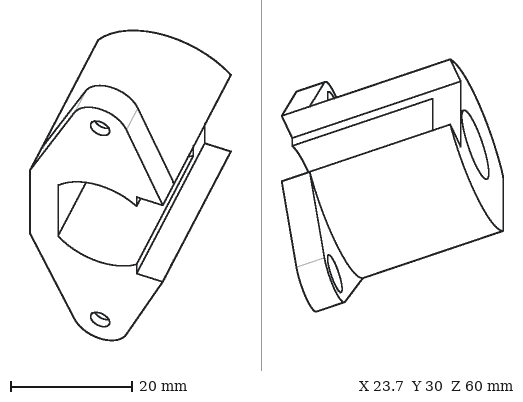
import cadquery as cq
import math

total_length = 30.0
flange_thickness = 5.0
wall_thickness = 5.0

cavity_radius = 10.0
cavity_flat_x = -7.5
opening_x = 6.5
end_hole_diameter = 12.0

ear_radius = 5.0
ear_offset = 25.0
screw_hole_diameter = 3.4
counterbore_diameter = 6.5
counterbore_depth = 3.4

outer_radius = cavity_radius + wall_thickness
outer_flat_x = cavity_flat_x - wall_thickness
cavity_length = total_length - wall_thickness
opening_height = 2 * cavity_radius
outer_flat_half_height = math.sqrt(outer_radius**2 - outer_flat_x**2)
opening_edge_x = math.sqrt(outer_radius**2 - cavity_radius**2)


def xz_plane(start_y=0.0):
    """Workplane with local x along X, local y along Z and its normal along -Y."""
    return cq.Workplane("XZ", origin=(0, start_y, 0))


def cylinder_along_y(radius, length):
    """Cylinder on the barrel axis, running from the flange face toward +Y."""
    return xz_plane().circle(radius).extrude(-length)


def flatted_cylinder(radius, flat_x, length):
    """Cylinder on the barrel axis with its -X side cut to a flat."""
    kept_side = cq.Workplane("XY", origin=(flat_x, 0, 0)).box(
        radius - flat_x, length, 2 * radius, centered=(False, False, True)
    )
    return cylinder_along_y(radius, length).intersect(kept_side)


def ear_tangent_point(corner, side):
    """Point where the line from a corner touches the upper ear; side is +1 for +X, -1 for -X."""
    dx = corner[0]
    dz = corner[1] - ear_offset
    corner_angle = math.atan2(dz, dx)
    angle = corner_angle + side * math.acos(ear_radius / math.hypot(dx, dz))
    return (ear_radius * math.cos(angle), ear_offset + ear_radius * math.sin(angle))


def mirrored(point):
    """The point reflected to the opposite Z side."""
    return (point[0], -point[1])


def flange():
    """Plate with a rounded ear at each end, tapering from the barrel's corners."""
    left_corner = (outer_flat_x, outer_flat_half_height)
    right_corner = (opening_edge_x, cavity_radius)
    left_tangent = ear_tangent_point(left_corner, side=-1)
    right_tangent = ear_tangent_point(right_corner, side=1)
    ear_tip = (0, ear_offset + ear_radius)
    return (
        xz_plane()
        .moveTo(*left_corner)
        .lineTo(*left_tangent)
        .threePointArc(ear_tip, right_tangent)
        .lineTo(*right_corner)
        .lineTo(*mirrored(right_corner))
        .lineTo(*mirrored(right_tangent))
        .threePointArc(mirrored(ear_tip), mirrored(left_tangent))
        .lineTo(*mirrored(left_corner))
        .close()
        .extrude(-flange_thickness)
    )


def barrel():
    return flatted_cylinder(outer_radius, outer_flat_x, total_length)


def cavity():
    """Pocket open at the flange face, leaving a wall at the far end of the barrel."""
    return flatted_cylinder(cavity_radius, cavity_flat_x, cavity_length)


def side_opening():
    """Full-length slot through the +X side of the barrel and flange."""
    return cq.Workplane("XY", origin=(opening_x, 0, 0)).box(
        outer_radius - opening_x, total_length, opening_height, centered=(False, False, True)
    )


def end_hole():
    return cylinder_along_y(end_hole_diameter / 2, total_length)


def screw_holes():
    """One through hole per ear, counterbored from the barrel side of the flange."""
    centers = [(0, ear_offset), (0, -ear_offset)]
    holes = (
        xz_plane()
        .pushPoints(centers)
        .circle(screw_hole_diameter / 2)
        .extrude(-flange_thickness)
    )
    counterbores = (
        xz_plane(start_y=flange_thickness)
        .pushPoints(centers)
        .circle(counterbore_diameter / 2)
        .extrude(counterbore_depth)
    )
    return holes.union(counterbores)


result = (
    barrel()
    .union(flange())
    .cut(cavity())
    .cut(side_opening())
    .cut(end_hole())
    .cut(screw_holes())
)